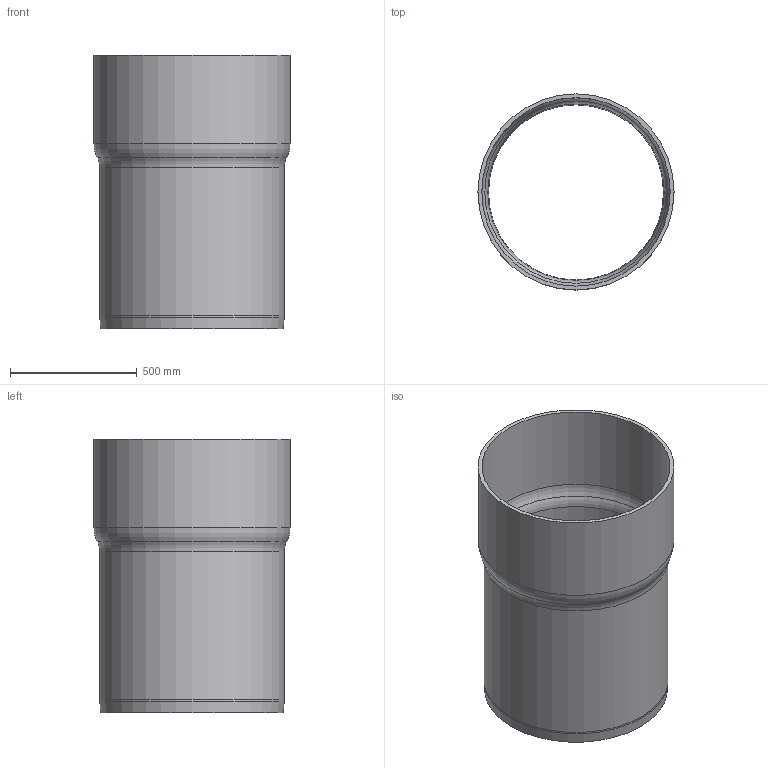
import cadquery as cq
import math

total_height = 1080.0
wall = 15.0
pipe_outer_radius = 730.0 / 2
socket_outer_radius = 775.0 / 2
socket_depth = 350.0

upper_bend_radius = 120.0
lower_bend_radius = 80.0

taper_start = 50.0
taper_angle = math.radians(5.0)
taper_bend_radius = 80.0

neck_top = total_height - socket_depth
neck_offset = socket_outer_radius - pipe_outer_radius
neck_radii = upper_bend_radius + lower_bend_radius
neck_angle = math.acos(1 - neck_offset / neck_radii)
neck_bottom = neck_top - neck_radii * math.sin(neck_angle)


def upper_bend_point(angle, inset):
    """Point on the neck's upper bend, turned by angle from the socket, inset from the outer skin."""
    radius = upper_bend_radius - inset
    center_r = socket_outer_radius - upper_bend_radius
    return (center_r + radius * math.cos(angle), neck_top - radius * math.sin(angle))


def lower_bend_point(angle, inset):
    """Point on the neck's lower bend, turned by angle from the pipe, inset from the outer skin."""
    radius = lower_bend_radius + inset
    center_r = pipe_outer_radius + lower_bend_radius
    return (center_r - radius * math.cos(angle), neck_bottom + radius * math.sin(angle))


def taper_bend_point(angle, inset):
    """Point on the bend above the cone, turned by angle from the pipe, inset from the outer skin."""
    radius = taper_bend_radius - inset
    center_r = pipe_outer_radius - taper_bend_radius
    return (center_r + radius * math.cos(angle), taper_start - radius * math.sin(angle))


def bottom_rim_point(inset):
    """Point where the cone, inset from the outer skin, meets the bottom plane."""
    cone_top_r, cone_top_z = taper_bend_point(taper_angle, inset)
    return (cone_top_r - cone_top_z * math.tan(taper_angle), 0)


def make_wall_profile():
    """Half section of the constant-thickness wall in the (radius, height) plane."""
    return (
        cq.Workplane("XZ")
        .moveTo(socket_outer_radius - wall, total_height)
        .lineTo(socket_outer_radius, total_height)
        .lineTo(*upper_bend_point(0, 0))
        .threePointArc(upper_bend_point(neck_angle / 2, 0), upper_bend_point(neck_angle, 0))
        .threePointArc(lower_bend_point(neck_angle / 2, 0), lower_bend_point(0, 0))
        .lineTo(*taper_bend_point(0, 0))
        .threePointArc(taper_bend_point(taper_angle / 2, 0), taper_bend_point(taper_angle, 0))
        .lineTo(*bottom_rim_point(0))
        .lineTo(*bottom_rim_point(wall))
        .lineTo(*taper_bend_point(taper_angle, wall))
        .threePointArc(taper_bend_point(taper_angle / 2, wall), taper_bend_point(0, wall))
        .lineTo(*lower_bend_point(0, wall))
        .threePointArc(lower_bend_point(neck_angle / 2, wall), lower_bend_point(neck_angle, wall))
        .threePointArc(upper_bend_point(neck_angle / 2, wall), upper_bend_point(0, wall))
        .close()
    )


axis_base = (0, 0, 0)
axis_top = (0, 1, 0)
result = make_wall_profile().revolve(360, axis_base, axis_top)